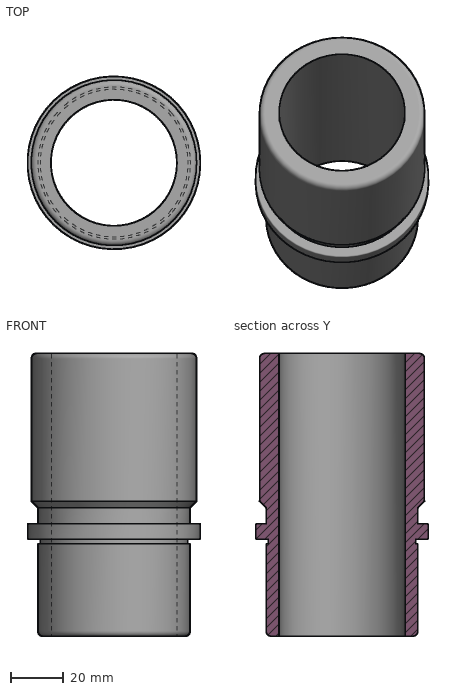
import cadquery as cq

total_height = 108.0
bore_radius = 24.0

head_radius = 31.5
spigot_radius = 29.0
flange_radius = 32.99
groove_radius = 28.2

groove_bottom = 35.4
flange_bottom = 37.0
flange_top = 43.0
neck_top = 49.0

end_fillet = 2.0
rim_fillet = 0.4


def cylinder(radius, bottom, top):
    """Solid cylinder on the Z axis between two heights."""
    return cq.Workplane("XY").workplane(offset=bottom).circle(radius).extrude(top - bottom)


def make_spigot():
    """Lower sleeve with a large round at the bottom and a small one at the groove."""
    return (
        cylinder(spigot_radius, 0, groove_bottom)
        .faces("<Z").edges().fillet(end_fillet)
        .faces(">Z").edges().fillet(rim_fillet)
    )


def make_flange():
    """Collar with both rims rounded."""
    return cylinder(flange_radius, flange_bottom, flange_top).edges().fillet(rim_fillet)


def make_head():
    """Upper sleeve with a rounded top edge and a 45 degree shoulder below."""
    return (
        cylinder(head_radius, neck_top, total_height)
        .faces(">Z").edges().fillet(end_fillet)
        .faces("<Z").edges().chamfer(head_radius - spigot_radius)
    )


relief_groove = cylinder(groove_radius, groove_bottom, flange_bottom)
neck = cylinder(spigot_radius, flange_top, neck_top)
bore = cylinder(bore_radius, 0, total_height)

result = (
    make_spigot()
    .union(relief_groove)
    .union(make_flange())
    .union(neck)
    .union(make_head())
    .cut(bore)
)